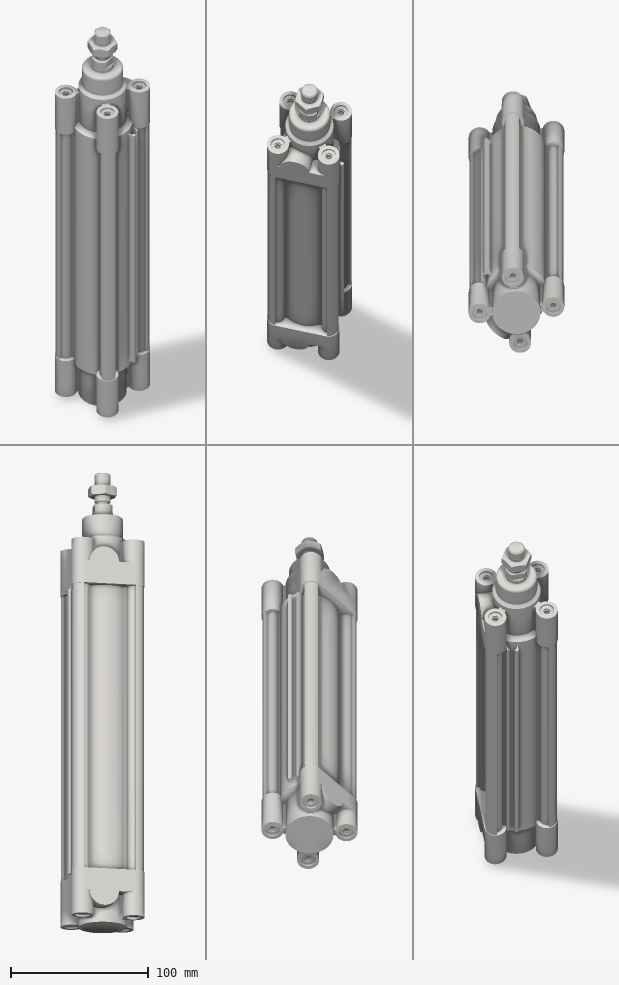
import cadquery as cq
import math


COLUMN_PITCH = 38.0
COLUMN_DIAMETER = 16.0
COLUMN_LENGTH = 34.0
COLUMN_WEB_WIDTH = 5.5
CORE_DIAMETER = 35.0
COLLAR_LENGTH = 3.7
FLANGE_HEIGHT = 4.5
FLANGE_CONE_HEIGHT = 2.0

SEAT_DIAMETER = 10.5
SEAT_DEPTH = 1.7
SOCKET_ACROSS_FLATS = 5.0
SOCKET_DEPTH = 1.5
PILOT_DIAMETER = 4.0
PILOT_DEPTH = 2.0

PORT_BOSS_RADIUS = 11.0
PORT_BOSS_X = 4.5
PORT_BOSS_HEIGHT = 16.5

NOSE_DIAMETER = 30.0
NOSE_LENGTH = 17.5
NOSE_CONE_HEIGHT = 2.0
NOSE_ROUNDING = 2.0

BARREL_LENGTH = 213.2
TUBE_DIAMETER = 44.0
CORNER_BOSS_DIAMETER = 10.0
CORNER_WEB_FACE = 18.5
LOBE_RADIUS = 7.5
LOBE_EDGE = 19.3

LOWER_LIP_Y = 2.5
LOWER_LIP_STEM = 1.5
LOWER_LIP_NECK_X = 23.7
LOWER_LIP_HOOK_X = 24.7
LOWER_LIP_SHOULDER_X = 26.0
LOWER_LIP_TIP = (26.8, 3.5)
LOWER_LIP_TOP_Y = 5.8
UPPER_LIP_Y = 11.2
UPPER_LIP_X = 24.0
UPPER_LIP_THICKNESS = 0.7
UPPER_LIP_DROP = 1.7

TOTAL_HEIGHT = 339.0
ROD_DIAMETER = 16.0
ROD_END_DIAMETER = 15.5
ROD_END_BOTTOM = 308.0
FLATS_WIDTH = 13.0
FLATS_BOTTOM = 309.5
SHOULDER = 315.3
NECK_DIAMETER = 10.5
THREAD_DIAMETER = 12.0
THREAD_BOTTOM = 317.0
THREAD_CHAMFER = 1.0

NUT_ACROSS_FLATS = 19.0
NUT_BOTTOM = 322.0
NUT_HEIGHT = 7.0
NUT_CHAMFER_ANGLE = 30

COLUMN_OFFSET = COLUMN_PITCH / 2
COLUMN_CENTRES = [(sx * COLUMN_OFFSET, sy * COLUMN_OFFSET) for sx in (-1, 1) for sy in (-1, 1)]
CAP_SIDE = COLUMN_OFFSET + COLUMN_DIAMETER / 2
CAP_LENGTH = COLUMN_LENGTH + COLLAR_LENGTH
BARREL_BOTTOM = CAP_LENGTH
BARREL_TOP = BARREL_BOTTOM + BARREL_LENGTH


def cylinder(diameter, bottom, top):
    return cq.Workplane("XY").workplane(offset=bottom).circle(diameter / 2).extrude(top - bottom)


def cone(bottom_diameter, top_diameter, bottom, top):
    base = cq.Vector(0, 0, bottom)
    return cq.Workplane(cq.Solid.makeCone(bottom_diameter / 2, top_diameter / 2, top - bottom, base))


def hexagon(across_flats, bottom, top):
    """Hexagonal prism on the Z axis with two of its flats facing +X and -X."""
    across_corners = across_flats / math.cos(math.pi / 6)
    prism = cq.Workplane("XY").workplane(offset=bottom).polygon(6, across_corners).extrude(top - bottom)
    return prism.rotate((0, 0, 0), (0, 0, 1), 30)


def cap_core():
    core = cylinder(CORE_DIAMETER, 0, CAP_LENGTH)
    flange = cylinder(TUBE_DIAMETER, 0, FLANGE_HEIGHT)
    flange_cone = cone(TUBE_DIAMETER, CORE_DIAMETER, FLANGE_HEIGHT, FLANGE_HEIGHT + FLANGE_CONE_HEIGHT)
    return core.union(flange).union(flange_cone)


def cap_columns():
    """Four corner columns, tied across the diagonals by webs."""
    columns = cq.Workplane("XY").pushPoints(COLUMN_CENTRES).circle(COLUMN_DIAMETER / 2).extrude(COLUMN_LENGTH)
    diagonal = COLUMN_PITCH * math.sqrt(2)
    for angle in (45, 135):
        web = cq.Workplane("XY").rect(diagonal, COLUMN_WEB_WIDTH).extrude(COLUMN_LENGTH)
        columns = columns.union(web.rotate((0, 0, 0), (0, 0, 1), angle))
    return columns


def port_block():
    """Pad between the two +Y columns with the round port boss lying on it."""
    pad_start = COLUMN_OFFSET - COLUMN_DIAMETER / 4
    pad = cq.Workplane("XY").box(
        COLUMN_PITCH, CAP_SIDE - pad_start, PORT_BOSS_HEIGHT, centered=(True, False, False)
    )
    boss_axis = cq.Workplane("XZ").center(PORT_BOSS_X, PORT_BOSS_HEIGHT)
    boss = boss_axis.circle(PORT_BOSS_RADIUS).extrude(-CAP_SIDE)
    return pad.translate((0, pad_start, 0)).union(boss)


def screw_seat():
    """Counterbore, hexagon socket and pilot hole, as one cutting shape on the Z axis."""
    seat_floor = COLUMN_LENGTH - SEAT_DEPTH
    socket_floor = seat_floor - SOCKET_DEPTH
    seat = cylinder(SEAT_DIAMETER, seat_floor, COLUMN_LENGTH)
    seat = seat.union(hexagon(SOCKET_ACROSS_FLATS, socket_floor, seat_floor))
    return seat.union(cylinder(PILOT_DIAMETER, socket_floor - PILOT_DEPTH, socket_floor))


def plain_cap():
    """Cap with its barrel end on z = 0, pointing up."""
    cap = cap_core().union(cap_columns()).union(port_block())
    for x, y in COLUMN_CENTRES:
        cap = cap.cut(screw_seat().translate((x, y, 0)))
    return cap


def make_rear_cap():
    return plain_cap().mirror("XY").translate((0, 0, BARREL_BOTTOM))


def make_front_cap():
    nose_top = CAP_LENGTH + NOSE_LENGTH
    nose = cylinder(NOSE_DIAMETER, CAP_LENGTH, nose_top).faces(">Z").fillet(NOSE_ROUNDING)
    nose_cone = cone(CORE_DIAMETER, NOSE_DIAMETER, CAP_LENGTH, CAP_LENGTH + NOSE_CONE_HEIGHT)
    cap = plain_cap().union(nose).union(nose_cone)
    cap = cap.cut(cylinder(ROD_DIAMETER, 0, nose_top))
    return cap.translate((0, 0, BARREL_TOP))


def barrel_corner():
    """Corner at +X +Y: web from the tube, round boss and the quarter-round lobe outside it."""
    web = cq.Workplane("XY").rect(CORNER_WEB_FACE, CORNER_WEB_FACE, centered=False).extrude(BARREL_LENGTH)
    axis = cq.Workplane("XY").center(COLUMN_OFFSET, COLUMN_OFFSET)
    boss = axis.circle(CORNER_BOSS_DIAMETER / 2).extrude(BARREL_LENGTH)
    quadrant = (
        cq.Workplane("XY")
        .center(LOBE_EDGE, LOBE_EDGE)
        .rect(LOBE_RADIUS, LOBE_RADIUS, centered=False)
        .extrude(BARREL_LENGTH)
    )
    lobe = cq.Workplane("XY").center(COLUMN_OFFSET, COLUMN_OFFSET).circle(LOBE_RADIUS).extrude(BARREL_LENGTH)
    return web.union(boss).union(lobe.intersect(quadrant))


def sensor_slot_lips():
    """The two lips that frame the sensor slot on the +X side, rooted inside the tube."""
    root = CORNER_WEB_FACE
    stem_top = LOWER_LIP_Y + LOWER_LIP_STEM
    lower = [
        (root, LOWER_LIP_Y),
        LOWER_LIP_TIP,
        (LOWER_LIP_SHOULDER_X, LOWER_LIP_TOP_Y),
        (LOWER_LIP_HOOK_X, LOWER_LIP_TOP_Y),
        (LOWER_LIP_NECK_X, stem_top),
        (root, stem_top),
    ]
    inner_x = UPPER_LIP_X - UPPER_LIP_THICKNESS
    inner_y = UPPER_LIP_Y - UPPER_LIP_THICKNESS
    lip_end = UPPER_LIP_Y - UPPER_LIP_DROP
    upper = [
        (root, inner_y),
        (inner_x, inner_y),
        (inner_x, lip_end),
        (UPPER_LIP_X, lip_end),
        (UPPER_LIP_X, UPPER_LIP_Y),
        (root, UPPER_LIP_Y),
    ]
    lower_lip = cq.Workplane("XY").polyline(lower).close().extrude(BARREL_LENGTH)
    upper_lip = cq.Workplane("XY").polyline(upper).close().extrude(BARREL_LENGTH)
    return lower_lip.union(upper_lip)


def make_barrel():
    barrel = cylinder(TUBE_DIAMETER, 0, BARREL_LENGTH)
    for quarter in range(4):
        barrel = barrel.union(barrel_corner().rotate((0, 0, 0), (0, 0, 1), 90 * quarter))
    lips = sensor_slot_lips()
    barrel = barrel.union(lips).union(lips.mirror("YZ"))
    return barrel.translate((0, 0, BARREL_BOTTOM))


def make_rod():
    """Rod from the barrel end through the front cap, with wrench flats, neck and thread."""
    shank = cylinder(ROD_DIAMETER, BARREL_TOP, ROD_END_BOTTOM)
    rod_end = cylinder(ROD_END_DIAMETER, ROD_END_BOTTOM, SHOULDER)
    for side in (-1, 1):
        flat_cut = cq.Workplane("XY").box(
            ROD_DIAMETER, ROD_DIAMETER, SHOULDER - FLATS_BOTTOM, centered=(True, True, False)
        )
        rod_end = rod_end.cut(flat_cut.translate((side * (FLATS_WIDTH + ROD_DIAMETER) / 2, 0, FLATS_BOTTOM)))
    neck = cylinder(NECK_DIAMETER, SHOULDER, THREAD_BOTTOM)
    thread = cylinder(THREAD_DIAMETER, THREAD_BOTTOM, TOTAL_HEIGHT).faces("<Z or >Z").chamfer(THREAD_CHAMFER)
    return shank.union(rod_end).union(neck).union(thread)


def make_nut():
    """Hexagon nut whose corners are trimmed by a cone at each end."""
    nut_top = NUT_BOTTOM + NUT_HEIGHT
    nut_middle = NUT_BOTTOM + NUT_HEIGHT / 2
    middle_diameter = NUT_ACROSS_FLATS + NUT_HEIGHT / math.tan(math.radians(NUT_CHAMFER_ANGLE))
    lower_cone = cone(NUT_ACROSS_FLATS, middle_diameter, NUT_BOTTOM, nut_middle)
    upper_cone = cone(middle_diameter, NUT_ACROSS_FLATS, nut_middle, nut_top)
    nut = hexagon(NUT_ACROSS_FLATS, NUT_BOTTOM, nut_top).intersect(lower_cone.union(upper_cone))
    return nut.cut(cylinder(THREAD_DIAMETER, NUT_BOTTOM, nut_top))


rear_cap = make_rear_cap()
barrel = make_barrel()
front_cap = make_front_cap()
rod = make_rod()
nut = make_nut()

bodies = [rear_cap, barrel, front_cap, rod, nut]
result = cq.Compound.makeCompound([body.solids().val() for body in bodies])